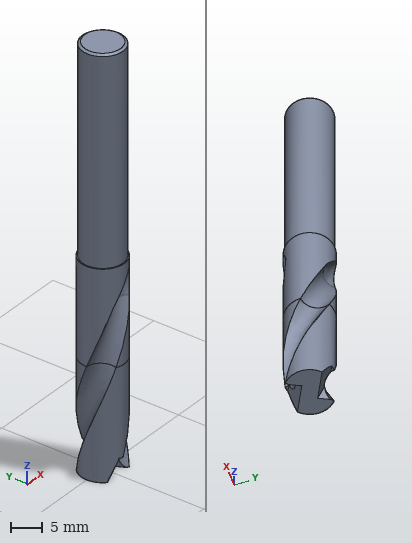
import cadquery as cq

total_length = 80.0
shank_radius = 4.0
cutting_radius = 4.2
cutting_length = 40.0
head_length = 21.2
top_chamfer_radial = 0.5
top_chamfer_height = 0.3

flute_count = 2
flute_pitch = 67.2
flute_radius = 2.9
flute_center_radius = 5.2
flute_end_height = 32.6
flute_end_angle = 274.0
runout_top = 40.0
runout_slope = 0.22
runout_drift = 0.55

gash_corner = (1.5, -0.8)
gash_tail = (-4.6, -4.0)
gash_tooth = (2.7, -3.3)
gash_outside = (1.6, -7.2)
gash_height = 3.9
gash_shift = (-0.5, -2.2)

overcut = 0.8


def cylinder(radius, bottom, top):
    return cq.Workplane("XY").workplane(offset=bottom).circle(radius).extrude(top - bottom)


def about_axis(shape, angle):
    return shape.rotate((0, 0, 0), (0, 0, 1), angle)


def around_tool(shape):
    """Copies of a cutter, one for each flute."""
    return [about_axis(shape, index * 360 / flute_count) for index in range(flute_count)]


def make_helical_groove():
    """Twisted groove from below the end face up to the end of the helix."""
    length = flute_end_height + overcut
    twist = 360 * length / flute_pitch
    groove = (
        cq.Workplane("XY", origin=(0, 0, -overcut))
        .moveTo(flute_center_radius, 0)
        .circle(flute_radius)
        .twistExtrude(length, twist)
    )
    return about_axis(groove, flute_end_angle - twist)


def make_runout():
    """Straight groove that leans along the helix while it rises out of the surface."""
    height = runout_top - flute_end_height
    sideways = height * runout_drift
    outward = height * runout_slope
    groove = (
        cq.Workplane("XY", origin=(0, 0, flute_end_height))
        .moveTo(flute_center_radius, 0)
        .circle(flute_radius)
        .workplane(offset=height)
        .moveTo(flute_center_radius + outward, sideways)
        .circle(flute_radius)
        .loft(ruled=True)
    )
    return about_axis(groove, flute_end_angle)


def make_gash():
    """Oblique prism whose inner edge rises from the corner beside the web."""
    corners = [gash_tail, gash_corner, gash_tooth, gash_outside]
    shifted = [(x + gash_shift[0], y + gash_shift[1]) for x, y in corners]
    return (
        cq.Workplane("XY")
        .polyline(corners)
        .close()
        .workplane(offset=gash_height)
        .polyline(shifted)
        .close()
        .loft(ruled=True)
    )


def cut_flutes(body):
    for cutter in (make_helical_groove(), make_runout()):
        for copy in around_tool(cutter):
            body = body.cut(copy)
    return body


def make_head():
    """Fluted cutting head with a gash at each flute."""
    head = cut_flutes(cylinder(cutting_radius, 0, head_length))
    for gash in around_tool(make_gash()):
        head = head.cut(gash)
    return head


def make_holder():
    """Upper fluted length and plain shank with a chamfered top."""
    fluted = cut_flutes(cylinder(cutting_radius, head_length, cutting_length))
    shank = (
        cylinder(shank_radius, cutting_length, total_length)
        .faces(">Z")
        .chamfer(top_chamfer_height, top_chamfer_radial)
    )
    return fluted.union(shank)


head = make_head()
holder = make_holder()
result = cq.Compound.makeCompound([head.val(), holder.val()])